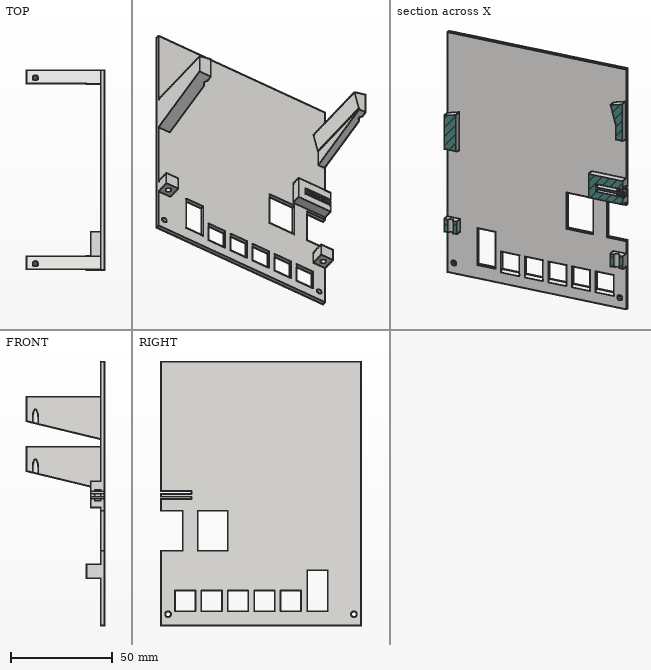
import cadquery as cq
import math

PANEL_WIDTH = 98.5
PANEL_HEIGHT = 130.0
TOTAL_DEPTH = 38.5
PANEL_THICKNESS = 2.0
FRONT_FACE_X = -PANEL_THICKNESS
HOLE_DIAMETER = 2.7

OPENING_TOP_Z = 56.5
OPENING_BOTTOM_Z = 36.9
OPENING_NEAR_Y = 18.2
OPENING_WIDTH = 14.7
EDGE_NOTCH_WIDTH = 10.7

SILL_Z = 7.2
WINDOW_SIZE = 10.0
WINDOW_COUNT = 5
WINDOW_PITCH = 13.0
FIRST_WINDOW_Y = 12.0
SILL_BEVEL = 1.3
TALL_WINDOW_Y = 77.1
TALL_WINDOW_HEIGHT = 20.0

MOUNT_HOLE_INSET = 3.5
MOUNT_HOLE_Z = 5.6

BLOCK_SIZE = 7.0
BLOCK_BOTTOM_Z = 23.3

HOUSING_LENGTH = 19.0
HOUSING_HEIGHT = 13.0
HOUSING_DEPTH = 5.0
HOUSING_BOTTOM_Z = 58.1
SLOT_LENGTH = 15.0
UPPER_SLOT_Z = 65.5
UPPER_SLOT_HEIGHT = 1.4
LOWER_SLOT_Z = 62.9
LOWER_SLOT_HEIGHT = 1.0
RECESS_Z = 64.2
RECESS_HEIGHT = 5.5
RECESS_WIDTH = 2.9
RECESS_DEPTH = 3.9

ARM_LENGTH = TOTAL_DEPTH - PANEL_THICKNESS
TIP_X = -TOTAL_DEPTH
ARM_TILT = 15.0
TILT_SLOPE = math.tan(math.radians(ARM_TILT))
ARM_WIDTH = 6.6
ARM_TIP_HEIGHT = 12.1
BRACE_DROP = 8.8
RIGHT_ARM_Y = 0.32
RIGHT_ARM_TOP_Z = 112.7
RIGHT_BRACE_WIDTH = 3.8
RIGHT_BEAM_BOTTOM_Z = 101.3
LEFT_ARM_Y = PANEL_WIDTH - ARM_WIDTH
LEFT_ARM_TOP_Z = 88.1
ARM_HOLE_FROM_TIP = 4.4
ARM_HOLE_FROM_FACE = 2.9
DRILL_REACH = 26.0


def box(x_range, y_range, z_range):
    """Axis-aligned box spanning the given (low, high) ranges."""
    lows, highs = zip(x_range, y_range, z_range)
    sizes = [high - low for low, high in zip(lows, highs)]
    return cq.Workplane("XY").box(*sizes, centered=False).translate(lows)


def panel_opening(y_low, width, z_low, height):
    """Rectangular cutter through the whole panel thickness."""
    return box((FRONT_FACE_X, 0), (y_low, y_low + width), (z_low, z_low + height))


def prism_along_x(yz_points):
    """Solid with a YZ outline, running from the arm tip to the panel."""
    return cq.Workplane("YZ").workplane(offset=TIP_X).polyline(yz_points).close().extrude(ARM_LENGTH)


def bevelled_window(center_y):
    """Square window cutter with its sill bevelled down to the front face."""
    y_low = center_y - WINDOW_SIZE / 2
    window = panel_opening(y_low, WINDOW_SIZE, SILL_Z, WINDOW_SIZE)
    bevel_points = [
        (FRONT_FACE_X, SILL_Z),
        (FRONT_FACE_X, SILL_Z - SILL_BEVEL),
        (FRONT_FACE_X + SILL_BEVEL, SILL_Z),
    ]
    bevel = cq.Workplane("XZ").polyline(bevel_points).close().extrude(-WINDOW_SIZE)
    return window.union(bevel.translate((0, y_low, 0)))


def panel():
    """Flat panel with its openings, windows and mounting holes."""
    body = box((FRONT_FACE_X, 0), (0, PANEL_WIDTH), (0, PANEL_HEIGHT))
    opening_height = OPENING_TOP_Z - OPENING_BOTTOM_Z
    body = body.cut(panel_opening(OPENING_NEAR_Y, OPENING_WIDTH, OPENING_BOTTOM_Z, opening_height))
    body = body.cut(panel_opening(0, EDGE_NOTCH_WIDTH, OPENING_BOTTOM_Z, opening_height))
    tall_y = TALL_WINDOW_Y - WINDOW_SIZE / 2
    body = body.cut(panel_opening(tall_y, WINDOW_SIZE, SILL_Z, TALL_WINDOW_HEIGHT))
    for index in range(WINDOW_COUNT):
        body = body.cut(bevelled_window(FIRST_WINDOW_Y + index * WINDOW_PITCH))
    hole_centers = [(y, MOUNT_HOLE_Z) for y in (MOUNT_HOLE_INSET, PANEL_WIDTH - MOUNT_HOLE_INSET)]
    holes = cq.Workplane("YZ").pushPoints(hole_centers).circle(HOLE_DIAMETER / 2)
    return body.cut(holes.extrude(-PANEL_THICKNESS))


def drilled_block(y_low):
    """Cube on the panel front with a vertical through hole."""
    block = box(
        (FRONT_FACE_X - BLOCK_SIZE, FRONT_FACE_X),
        (y_low, y_low + BLOCK_SIZE),
        (BLOCK_BOTTOM_Z, BLOCK_BOTTOM_Z + BLOCK_SIZE),
    )
    return block.faces(">Z").workplane(centerOption="CenterOfBoundBox").hole(HOLE_DIAMETER)


def housing():
    """Plain block of the connector housing."""
    return box(
        (FRONT_FACE_X - HOUSING_DEPTH, FRONT_FACE_X),
        (0, HOUSING_LENGTH),
        (HOUSING_BOTTOM_Z, HOUSING_BOTTOM_Z + HOUSING_HEIGHT),
    )


def housing_cuts():
    """Two slots through housing and panel, and a recess in the side face."""
    cutter = box(
        (FRONT_FACE_X - RECESS_WIDTH, FRONT_FACE_X),
        (0, RECESS_DEPTH),
        (RECESS_Z - RECESS_HEIGHT / 2, RECESS_Z + RECESS_HEIGHT / 2),
    )
    slots = ((UPPER_SLOT_Z, UPPER_SLOT_HEIGHT), (LOWER_SLOT_Z, LOWER_SLOT_HEIGHT))
    for center_z, height in slots:
        z_range = (center_z - height / 2, center_z + height / 2)
        cutter = cutter.union(box((FRONT_FACE_X - HOUSING_DEPTH, 0), (0, SLOT_LENGTH), z_range))
    return cutter


def brace(y_low, width, top_z, tip_bottom_z):
    """Wedge under an arm, deepest where it meets the panel."""
    side = [
        (TIP_X, top_z),
        (TIP_X, tip_bottom_z),
        (FRONT_FACE_X, tip_bottom_z - BRACE_DROP),
        (FRONT_FACE_X, top_z),
    ]
    return cq.Workplane("XZ").polyline(side).close().extrude(-width).translate((0, y_low, 0))


def arm_hole(face_y, top_z):
    """Drill square to the tilted top, breaking out through the arm's -Y face."""
    center_y = face_y + ARM_HOLE_FROM_FACE
    center_z = top_z - ARM_HOLE_FROM_FACE * TILT_SLOPE
    drill = cq.Workplane("XY").circle(HOLE_DIAMETER / 2).extrude(DRILL_REACH, both=True)
    drill = drill.rotate((0, 0, 0), (1, 0, 0), -ARM_TILT)
    return drill.translate((TIP_X + ARM_HOLE_FROM_TIP, center_y, center_z))


def left_arm():
    """Arm at the far edge, with both sides upright."""
    far_top_z = LEFT_ARM_TOP_Z - ARM_WIDTH * TILT_SLOPE
    tip_bottom_z = LEFT_ARM_TOP_Z - ARM_TIP_HEIGHT
    beam = prism_along_x([
        (LEFT_ARM_Y, LEFT_ARM_TOP_Z),
        (PANEL_WIDTH, far_top_z),
        (PANEL_WIDTH, tip_bottom_z),
        (LEFT_ARM_Y, tip_bottom_z),
    ])
    arm = beam.union(brace(LEFT_ARM_Y, ARM_WIDTH, far_top_z, tip_bottom_z))
    return arm.cut(arm_hole(LEFT_ARM_Y, LEFT_ARM_TOP_Z))


def right_arm():
    """Arm at the Y = 0 edge, its inner side square to the tilted top."""
    inner_y = RIGHT_ARM_Y + ARM_WIDTH
    inner_top_z = RIGHT_ARM_TOP_Z - ARM_WIDTH * TILT_SLOPE
    inner_bottom_y = inner_y - (inner_top_z - RIGHT_BEAM_BOTTOM_Z) * TILT_SLOPE
    tip_bottom_z = RIGHT_ARM_TOP_Z - ARM_TIP_HEIGHT
    beam = prism_along_x([
        (RIGHT_ARM_Y, RIGHT_ARM_TOP_Z),
        (inner_y, inner_top_z),
        (inner_bottom_y, RIGHT_BEAM_BOTTOM_Z),
        (RIGHT_ARM_Y, RIGHT_BEAM_BOTTOM_Z),
    ])
    arm = beam.union(brace(RIGHT_ARM_Y, RIGHT_BRACE_WIDTH, inner_top_z, tip_bottom_z))
    return arm.cut(arm_hole(RIGHT_ARM_Y, RIGHT_ARM_TOP_Z))


result = panel().union(housing()).cut(housing_cuts())
for block_y in (0, PANEL_WIDTH - BLOCK_SIZE):
    result = result.union(drilled_block(block_y))
result = result.union(left_arm()).union(right_arm())